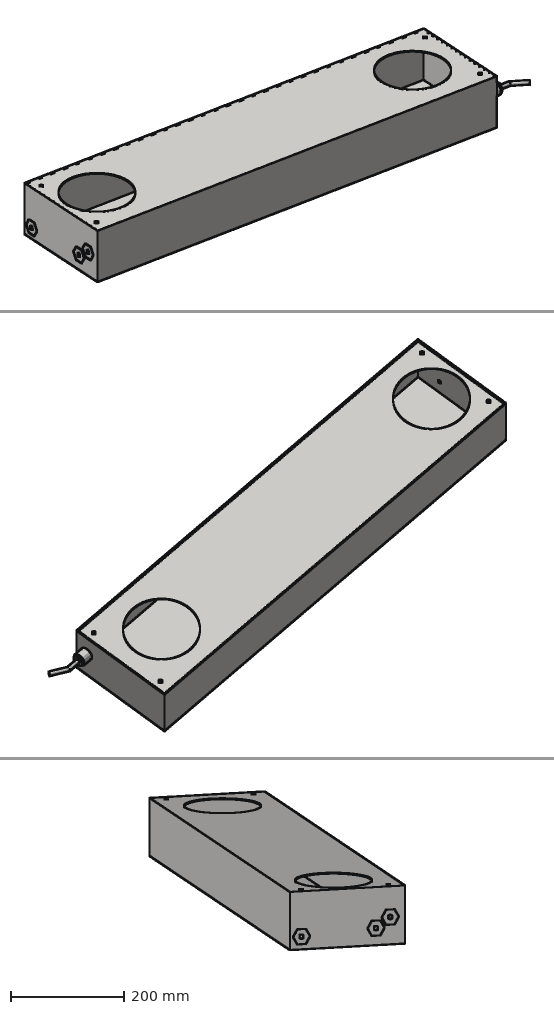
import cadquery as cq
import math

width = 212.0
height = 105.0
total_length = 971.0
wall = 3.0
cover_thickness = 2.0

plug_flats = 27.0
plug_bore = 8.0
plug_bore_depth = 3.0
plug_projection = 1.0
plugs = [(-84.0, 23.0), (52.0, 31.0), (79.0, 49.5)]

gland_x = 81.0
gland_z = 61.0
gland_diameter = 25.0
gland_body_length = 19.0
gland_cap_length = 4.0
gland_cap_diameter = 21.0
cable_diameter = 9.0
cable_straight = 24.0
cable_bend_angle = math.radians(30)
cable_bent_length = 36.0

cable_reach_y = (
    cable_straight
    + cable_bent_length * math.cos(cable_bend_angle)
    + cable_diameter / 2 * math.sin(cable_bend_angle)
)
rear_projection = gland_body_length + gland_cap_length + cable_reach_y
length = total_length - plug_projection - rear_projection

port_diameter = 136.0
port_x = -2.0
port_front_y = 82.0
port_rear_y = length - 105.0
screw_diameter = 7.0
screw_spacing_x = 160.0
screw_end_distance = 17.0


def hex_prism(x, z, start_y, end_y, flats):
    """Hexagonal prism along +Y with flats facing up."""
    profile = cq.Workplane("XZ").polygon(6, flats / math.cos(math.pi / 6))
    return profile.extrude(start_y - end_y).translate((x, start_y, z))


def rod(start, direction, rod_length, diameter):
    """Round bar from a start point along a direction."""
    return cq.Workplane(
        cq.Solid.makeCylinder(diameter / 2, rod_length, cq.Vector(*start), cq.Vector(*direction))
    )


def make_housing():
    """Closed hollow box with the top openings."""
    box = cq.Workplane().box(width, length, height, centered=(True, False, False))
    inside_width = width - 2 * wall
    cavity = (
        cq.Workplane()
        .box(inside_width, length - 2 * wall, height - 2 * cover_thickness, centered=(True, False, False))
        .translate((0, wall, cover_thickness))
    )
    box = box.cut(cavity)
    for port_y in (port_front_y, port_rear_y):
        box = box.cut(rod((port_x, port_y, height), (0, 0, -1), 2 * cover_thickness, port_diameter))
    for screw_x in (-screw_spacing_x / 2, screw_spacing_x / 2):
        for screw_y in (screw_end_distance, length - screw_end_distance):
            box = box.cut(rod((screw_x, screw_y, height), (0, 0, -1), 2 * cover_thickness, screw_diameter))
    return box


def add_plug(body, x, z):
    """Hexagonal plug on the front panel with a shallow central bore."""
    plug = hex_prism(x, z, -plug_projection, wall, plug_flats)
    bore = rod((x, -plug_projection, z), (0, 1, 0), plug_bore_depth, plug_bore)
    return body.union(plug).cut(bore)


def make_gland_and_cable():
    """Round gland, its smaller cap and a cable bent towards +X."""
    body_end = length + gland_body_length
    cap_end = body_end + gland_cap_length
    bend_y = cap_end + cable_straight
    tip_x = gland_x + cable_bent_length * math.sin(cable_bend_angle)
    tip_y = bend_y + cable_bent_length * math.cos(cable_bend_angle)

    gland = rod((gland_x, length - wall, gland_z), (0, 1, 0), wall + gland_body_length, gland_diameter)
    cap = rod((gland_x, body_end, gland_z), (0, 1, 0), gland_cap_length, gland_cap_diameter)
    path = (
        cq.Workplane("XY", origin=(0, 0, gland_z))
        .moveTo(gland_x, cap_end)
        .lineTo(gland_x, bend_y)
        .lineTo(tip_x, tip_y)
    )
    cable = (
        cq.Workplane("XZ", origin=(gland_x, cap_end, gland_z))
        .circle(cable_diameter / 2)
        .sweep(path, transition="right")
    )
    return gland.union(cap).union(cable)


result = make_housing()
for plug_x, plug_z in plugs:
    result = add_plug(result, plug_x, plug_z)
result = result.union(make_gland_and_cable())